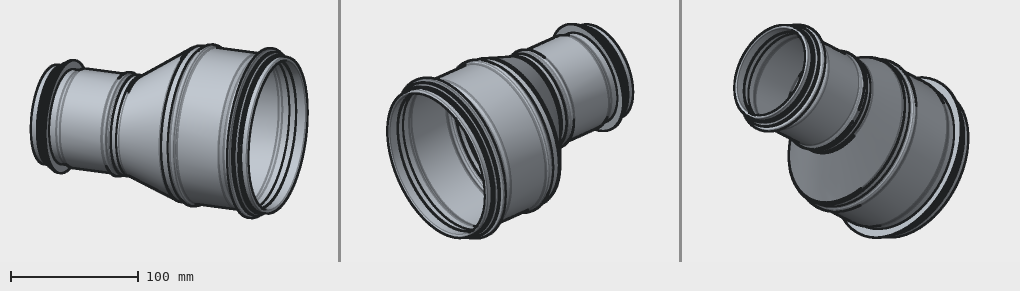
import cadquery as cq
import math

TOTAL_LENGTH = 185.2
SMALL_SPIGOT_LENGTH = 73.0
LARGE_SPIGOT_LENGTH = 73.7
AXIS_OFFSET = 21.3

SMALL_DIAMETER = 79.0
LARGE_DIAMETER = 124.0
WALL = 0.61
STEP_DEPTH = 1.9
STEP_START = 21.3
STEP_END = 25.0
STEP_ROUNDING = 1.5

HEM_LENGTH = 5.7
HEM_LINER_LENGTH = 9.3
HEM_NOSE_LENGTH = 1.2

BEAD_TO_INNER_END = 9.8
BEAD_FOOT_ROUNDING = 1.3
SMALL_BEAD_HALF_WIDTH = 2.6
SMALL_BEAD_SLOPE = math.radians(50)
SMALL_BEAD_CREST_ROUNDING = 2.2
LARGE_BEAD_HALF_WIDTH = 3.5
LARGE_BEAD_SLOPE = math.radians(40)
LARGE_BEAD_CREST_ROUNDING = 2.8

SEAL_END = 15.4
SEAL_BASE_THICKNESS = 1.2
RIB_START = 7.8
RIB_HEIGHT = 2.5
SHORT_LIP_START = 10.0
SHORT_LIP_ROOT_ROUNDING = 0.7
SHORT_LIP_END = 11.5
SHORT_LIP_HEIGHT = 4.54
LONG_LIP_START = 13.5
LONG_LIP_HEIGHT = 7.0
LONG_LIP_ROUNDING = 0.7

COLLAR_START = 68.5
CONE_START = 75.4
CONE_END = 109.6
CONE_END_INSET = 0.2
PLUG_LENGTH = 5.5


def revolve_profile(points, roundings=()):
    """Revolve an (x, radius) polygon about X, rounding the (index, radius) corners."""
    corners = [cq.Vector(x, radius) for x, radius in points]
    wire = cq.Wire.makePolygon(corners, close=True)
    for index, rounding in roundings:
        corner = min(wire.Vertices(), key=lambda v: (v.Center() - corners[index]).Length)
        wire = wire.fillet2D(rounding, [corner])
    return cq.Workplane("XY").add(wire).toPending().revolve(360, (0, 0, 0), (1, 0, 0))


def tube_core(radius, length, bead_half_width, bead_slope, crest_rounding, foot_rounding):
    """Solid of revolution bounded by one side of the stepped and beaded sheet."""
    bead_center = length - BEAD_TO_INNER_END
    peak = radius + bead_half_width * math.tan(bead_slope)
    points = [
        (0, 0),
        (0, radius - STEP_DEPTH),
        (STEP_START, radius - STEP_DEPTH),
        (STEP_END, radius),
        (bead_center - bead_half_width, radius),
        (bead_center, peak),
        (bead_center + bead_half_width, radius),
        (length, radius),
        (length, 0),
    ]
    roundings = [
        (2, STEP_ROUNDING),
        (3, STEP_ROUNDING),
        (4, foot_rounding),
        (5, crest_rounding),
        (6, foot_rounding),
    ]
    return revolve_profile(points, roundings)


def make_hem(outer, seat):
    """Folded rim at x = 0, with a rounded nose and a liner that runs on under the seat."""
    bore = seat - 2 * WALL
    return (
        cq.Workplane("XY")
        .moveTo(HEM_NOSE_LENGTH, bore)
        .threePointArc((0, (bore + outer) / 2), (HEM_NOSE_LENGTH, outer))
        .lineTo(HEM_LENGTH, outer)
        .lineTo(HEM_LENGTH, seat - WALL)
        .lineTo(HEM_LINER_LENGTH, seat - WALL)
        .lineTo(HEM_LINER_LENGTH, bore)
        .close()
        .revolve(360, (0, 0, 0), (1, 0, 0))
    )


def make_spigot(diameter, length, bead_half_width, bead_slope, crest_rounding):
    """Thin tube along +X with a folded hem, a seal seat and a bead of even wall thickness."""
    outer = diameter / 2
    outside = tube_core(outer, length, bead_half_width, bead_slope, crest_rounding, BEAD_FOOT_ROUNDING)
    inside = tube_core(
        outer - WALL,
        length,
        bead_half_width - WALL * math.tan(bead_slope / 2),
        bead_slope,
        crest_rounding - WALL,
        BEAD_FOOT_ROUNDING + WALL,
    )
    rim_clearance = cq.Workplane("YZ").circle(outer).extrude(HEM_NOSE_LENGTH)
    tube = outside.cut(inside).cut(rim_clearance)
    return tube.union(make_hem(outer, outer - STEP_DEPTH))


def make_seal(diameter):
    """Seal ring in the spigot's seat: a flat base with a rib and two lips."""
    seat = diameter / 2 - STEP_DEPTH
    base = seat + SEAL_BASE_THICKNESS
    points = [
        (HEM_LENGTH, seat),
        (HEM_LENGTH, base),
        (RIB_START, base),
        (RIB_START, seat + RIB_HEIGHT),
        (SHORT_LIP_START, seat + RIB_HEIGHT),
        (SHORT_LIP_START, seat + SHORT_LIP_HEIGHT),
        (SHORT_LIP_END, seat + SHORT_LIP_HEIGHT),
        (SHORT_LIP_END, base),
        (LONG_LIP_START, base),
        (LONG_LIP_START, seat + LONG_LIP_HEIGHT),
        (SEAL_END, seat + LONG_LIP_HEIGHT),
        (SEAL_END, seat),
    ]
    short_lip_root = points.index((SHORT_LIP_START, seat + RIB_HEIGHT))
    long_lip_tip = points.index((LONG_LIP_START, seat + LONG_LIP_HEIGHT))
    roundings = [
        (short_lip_root, SHORT_LIP_ROOT_ROUNDING),
        (long_lip_tip, LONG_LIP_ROUNDING),
    ]
    return revolve_profile(points, roundings)


def at_small_end(body):
    return body.translate((0, -AXIS_OFFSET, 0))


def at_large_end(body):
    return body.mirror("YZ").translate((TOTAL_LENGTH, 0, 0))


def cone_core(small_radius, large_radius):
    """Collar, eccentric cone and plain end, all filled up to the given surface radii."""
    shoulder = TOTAL_LENGTH - LARGE_SPIGOT_LENGTH
    collar = (
        cq.Workplane("YZ", origin=(COLLAR_START, -AXIS_OFFSET, 0))
        .circle(small_radius)
        .extrude(CONE_START - COLLAR_START)
    )
    cone = (
        cq.Workplane("YZ", origin=(CONE_START, -AXIS_OFFSET, 0))
        .circle(small_radius)
        .workplane(offset=CONE_END - CONE_START)
        .center(AXIS_OFFSET, 0)
        .circle(large_radius - CONE_END_INSET)
        .loft(ruled=True)
    )
    plain_end = revolve_profile([
        (CONE_END, 0),
        (CONE_END, large_radius - CONE_END_INSET),
        (shoulder, large_radius),
        (shoulder + PLUG_LENGTH, large_radius),
        (shoulder + PLUG_LENGTH, 0),
    ])
    return collar.union(cone).union(plain_end)


def make_cone():
    """Sheet cone that fits over the small spigot and inside the large one."""
    small_inner = SMALL_DIAMETER / 2
    large_outer = LARGE_DIAMETER / 2 - WALL
    outside = cone_core(small_inner + WALL, large_outer)
    return outside.cut(cone_core(small_inner, large_outer - WALL))


small_spigot = at_small_end(make_spigot(
    SMALL_DIAMETER,
    SMALL_SPIGOT_LENGTH,
    SMALL_BEAD_HALF_WIDTH,
    SMALL_BEAD_SLOPE,
    SMALL_BEAD_CREST_ROUNDING,
))
large_spigot = at_large_end(make_spigot(
    LARGE_DIAMETER,
    LARGE_SPIGOT_LENGTH,
    LARGE_BEAD_HALF_WIDTH,
    LARGE_BEAD_SLOPE,
    LARGE_BEAD_CREST_ROUNDING,
))
small_seal = at_small_end(make_seal(SMALL_DIAMETER))
large_seal = at_large_end(make_seal(LARGE_DIAMETER))
cone = make_cone()

result = cq.Compound.makeCompound([
    small_spigot.val(),
    large_spigot.val(),
    small_seal.val(),
    large_seal.val(),
    cone.val(),
])